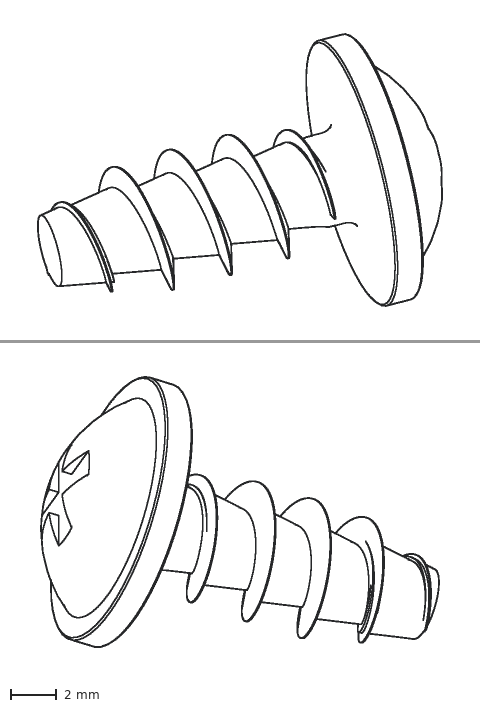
import cadquery as cq
import math

head_top = 17.86
flange_radius = 6.0
flange_bottom = 14.02
flange_thickness = 1.3
flange_top = flange_bottom + flange_thickness
flange_chamfer = 0.09
dome_base_radius = 5.0
recess_width = 1.34
recess_depth = 0.46

neck_radius = 2.04
neck_fillet = 0.8
neck_bottom = 12.5
run_in_length = 1.29
run_in_bottom_radius = 1.68

tip_radius = 1.6
tip_chamfer = 0.1
tip_chamfer_length = 0.04
tip_cone_height = 0.04
core_taper_angle = 9.5
core_slope = math.tan(math.radians(core_taper_angle))

pitch = 2.68
crest_radius = 3.0
crest_width = 0.05
flank_angle = 15.0
root_radius = 1.48
run_out_radius = 1.6
run_out_turns = 1.5
full_turns = 2.25
run_in_radius = 2.46
run_in_turns = 0.75
end_radius = 2.32
end_turns = 0.25
end_drop = 0.23

groove_shallow_radius = 2.07
groove_margin = 0.21
groove_outer_radius = crest_radius

points_per_turn = 24


def helix_edge(radius_at, offset_at, first_turn, last_turn):
    """Right-handed helix about Y; turn 0 points to -Z at Y = 0."""
    span = last_turn - first_turn

    def point(fraction):
        turn = first_turn + span * fraction
        angle = 2 * math.pi * turn
        radius = radius_at(fraction)
        height = pitch * turn + offset_at(fraction)
        return cq.Vector(-radius * math.sin(angle), height, -radius * math.cos(angle))

    steps = math.ceil(span * points_per_turn)
    return cq.Edge.makeSpline([point(i / steps) for i in range(steps + 1)])


def helical_solid(corners, first_turn, last_turn):
    """Solid along a helix; each corner gives its (radius, axial offset) at both ends."""
    def rail(corner):
        (radius_a, offset_a), (radius_b, offset_b) = corner
        return helix_edge(
            lambda f: radius_a + (radius_b - radius_a) * f,
            lambda f: offset_a + (offset_b - offset_a) * f,
            first_turn,
            last_turn,
        )

    rails = [rail(corner) for corner in corners]
    faces = [cq.Face.makeRuledSurface(a, b) for a, b in zip(rails, rails[1:] + rails[:1])]
    for end in (0, 1):
        outline = cq.Wire.makePolygon([edge.positionAt(end) for edge in rails], close=True)
        faces.append(cq.Face.makeFromWires(outline))
    return cq.Workplane(cq.Solid.makeSolid(cq.Shell.makeShell(faces)))


def disc(bottom, top, radius):
    return cq.Workplane("XZ", origin=(0, bottom, 0)).circle(radius).extrude(bottom - top)


def make_head():
    recess_corner = recess_width / math.sqrt(2)
    rise = head_top - flange_top
    centre_drop = (dome_base_radius**2 - recess_corner**2 - rise**2) / (2 * rise)
    dome_radius = math.hypot(dome_base_radius, centre_drop)
    apex = flange_top - centre_drop + dome_radius
    half_radius = dome_base_radius / 2
    half_height = flange_top - centre_drop + math.sqrt(dome_radius**2 - half_radius**2)
    dome = (
        cq.Workplane("XY")
        .moveTo(0, flange_top)
        .lineTo(dome_base_radius, flange_top)
        .threePointArc((half_radius, half_height), (0, apex))
        .close()
        .revolve(360, (0, 0, 0), (0, 1, 0))
    )
    recess_floor = head_top - recess_depth
    slot = (
        cq.Workplane("XY")
        .box(2 * dome_base_radius, 2 * recess_depth, recess_width)
        .translate((0, recess_floor + recess_depth, 0))
    )
    cross = slot.union(slot.rotate((0, 0, 0), (0, 1, 0), 90))
    flange = disc(flange_bottom, flange_top, flange_radius).edges().chamfer(flange_chamfer)
    return flange.union(dome).cut(cross)


def make_neck():
    fillet_start = flange_bottom - neck_fillet
    diagonal = neck_fillet * (1 - math.sqrt(0.5))
    run_in_bottom = neck_bottom - run_in_length
    return (
        cq.Workplane("XY")
        .moveTo(0, flange_bottom)
        .lineTo(neck_radius + neck_fillet, flange_bottom)
        .threePointArc(
            (neck_radius + diagonal, flange_bottom - diagonal), (neck_radius, fillet_start)
        )
        .lineTo(neck_radius, neck_bottom)
        .lineTo(run_in_bottom_radius, run_in_bottom)
        .lineTo(0, run_in_bottom)
        .close()
        .revolve(360, (0, 0, 0), (0, 1, 0))
    )


def make_core():
    cone_length = (neck_radius - tip_radius) / core_slope
    blank = (
        cq.Workplane("XY")
        .polyline([
            (0, 0),
            (tip_radius - tip_chamfer, tip_cone_height),
            (tip_radius, tip_cone_height + tip_chamfer_length),
            (neck_radius, tip_cone_height + cone_length),
            (neck_radius, neck_bottom),
            (0, neck_bottom),
        ])
        .close()
        .revolve(360, (0, 0, 0), (0, 1, 0))
    )
    deep_offset = groove_margin - pitch
    shallow_offset = -groove_margin
    shallow = groove_shallow_radius - core_slope * groove_margin
    deep = groove_shallow_radius + core_slope * deep_offset
    section = [
        (shallow, shallow_offset),
        (groove_outer_radius, shallow_offset),
        (groove_outer_radius, deep_offset),
        (deep, deep_offset),
    ]
    core = blank
    for turn in range(math.ceil(neck_bottom / pitch) + 1):
        core = core.cut(helical_solid([(corner, corner) for corner in section], turn, turn + 1))
    return core


def thread_section(crest, shift):
    half_crest = crest_width / 2
    half_root = half_crest + (crest - root_radius) * math.tan(math.radians(flank_angle))
    return [
        (root_radius, shift - half_root),
        (crest, shift - half_crest),
        (crest, shift + half_crest),
        (root_radius, shift + half_root),
    ]


def make_thread_pieces():
    full_end = run_out_turns + full_turns
    run_in_end = full_end + run_in_turns
    thread_end = run_in_end + end_turns
    stations = [
        (0, run_out_radius, 0),
        (run_out_turns, crest_radius, 0),
        (full_end, crest_radius, 0),
        (run_in_end, run_in_radius, 0),
        (thread_end, end_radius, -end_drop),
    ]
    pieces = []
    for (turn_a, crest_a, shift_a), (turn_b, crest_b, shift_b) in zip(stations, stations[1:]):
        corners = list(zip(thread_section(crest_a, shift_a), thread_section(crest_b, shift_b)))
        pieces.append(helical_solid(corners, turn_a, turn_b))
    below_tip = disc(-pitch, tip_cone_height, 2 * crest_radius)
    pieces[0] = pieces[0].cut(below_tip)
    return pieces


result = make_core()
for piece in make_thread_pieces():
    result = result.union(piece)
result = result.union(make_neck()).union(make_head())